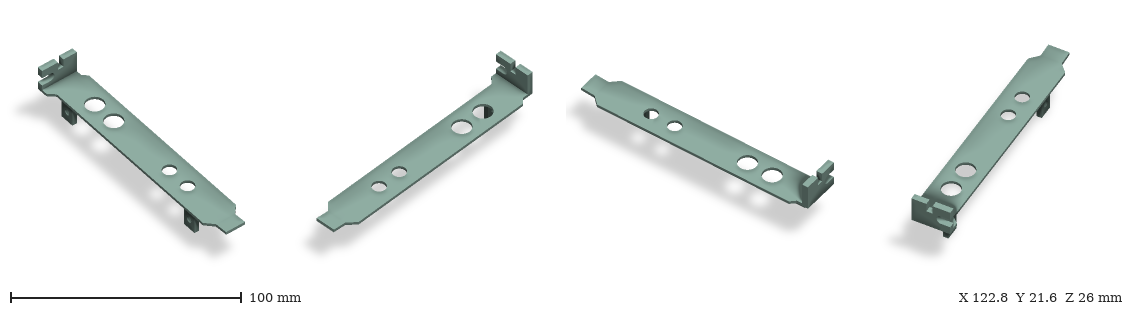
import cadquery as cq
import math


length = 122.8
width = 21.6
height = 26.0

plate_bottom = 13.1
plate_thickness = 1.5
plate_top = plate_bottom + plate_thickness
body_front = 3.3
body_center = (body_front + width) / 2
body_end = 111.4

flange_thickness = 3.1
flange_width = 19.2
foot_length = 6.0
front_taper_end = 9.1
rear_taper_end = 8.5

tip_start = 115.6
tip_width = 10.5
tip_angle = 5.0

large_hole_diameter = 9.2
large_hole_positions = (24.1, 37.3)
small_hole_diameter = 6.8
small_hole_positions = (76.4, 89.0)

slot_height = 4.4
side_slot_bottom = plate_bottom + 4.2
side_slot_depth = 6.8
top_slot_start = 8.7
top_slot_width = 3.1

lug_width = 7.5
lug_thickness = 2.6
lug_front = 5.9
lug_positions = (13.0, 98.5)
lug_hole_diameter = 3.1
lug_hole_height = 5.3


def make_strip():
    """Flat strip: foot, tapers, long body and the taper down to the tip."""
    tip_front = body_center - tip_width / 2
    tip_rear = body_center + tip_width / 2
    outline = [
        (0, 0),
        (foot_length, 0),
        (front_taper_end, body_front),
        (body_end, body_front),
        (tip_start, tip_front),
        (tip_start, tip_rear),
        (body_end, width),
        (rear_taper_end, width),
        (foot_length, flange_width),
        (0, flange_width),
    ]
    return (
        cq.Workplane("XY", origin=(0, 0, plate_bottom))
        .polyline(outline)
        .close()
        .extrude(plate_thickness)
    )


def make_tip():
    """Tongue tilted upwards, with its end face square to the tongue."""
    slope = math.tan(math.radians(tip_angle))
    rise = (length - tip_start) * slope
    end_setback = plate_thickness * slope
    profile = [
        (tip_start, plate_bottom),
        (length, plate_bottom + rise),
        (length - end_setback, plate_top + rise),
        (tip_start, plate_top),
    ]
    return (
        cq.Workplane("XZ", origin=(0, body_center, 0))
        .polyline(profile)
        .close()
        .extrude(tip_width / 2, both=True)
    )


def make_flange():
    """Upright end flange with its side slot and top slot."""
    flange_height = height - plate_bottom
    flange = (
        cq.Workplane("XY", origin=(0, 0, plate_bottom))
        .box(flange_thickness, flange_width, flange_height, centered=False)
    )

    slot_radius = slot_height / 2
    straight_depth = side_slot_depth - slot_radius
    slot_top = side_slot_bottom + slot_height
    side_slot = (
        cq.Workplane("YZ")
        .moveTo(0, side_slot_bottom)
        .lineTo(straight_depth, side_slot_bottom)
        .threePointArc((side_slot_depth, side_slot_bottom + slot_radius), (straight_depth, slot_top))
        .lineTo(0, slot_top)
        .close()
        .extrude(flange_thickness)
    )
    top_slot = (
        cq.Workplane("XY", origin=(0, top_slot_start, height - slot_height))
        .box(flange_thickness, top_slot_width, slot_height, centered=False)
    )
    return flange.cut(side_slot).cut(top_slot)


def make_lug(x_center):
    """Hanging lug with a cross hole along Y."""
    lug = (
        cq.Workplane("XY", origin=(x_center - lug_width / 2, lug_front, 0))
        .box(lug_width, lug_thickness, plate_top, centered=False)
    )
    hole = (
        cq.Workplane("XZ", origin=(x_center, lug_front, lug_hole_height))
        .circle(lug_hole_diameter / 2)
        .extrude(-lug_thickness)
    )
    return lug.cut(hole)


def make_strip_holes(x_positions, diameter):
    """Cylinders for a row of holes on the strip's center line."""
    centers = [(x, body_center) for x in x_positions]
    return (
        cq.Workplane("XY", origin=(0, 0, plate_bottom))
        .pushPoints(centers)
        .circle(diameter / 2)
        .extrude(plate_thickness)
    )


result = make_strip().union(make_tip()).union(make_flange())
for lug_position in lug_positions:
    result = result.union(make_lug(lug_position))
result = result.cut(make_strip_holes(large_hole_positions, large_hole_diameter))
result = result.cut(make_strip_holes(small_hole_positions, small_hole_diameter))